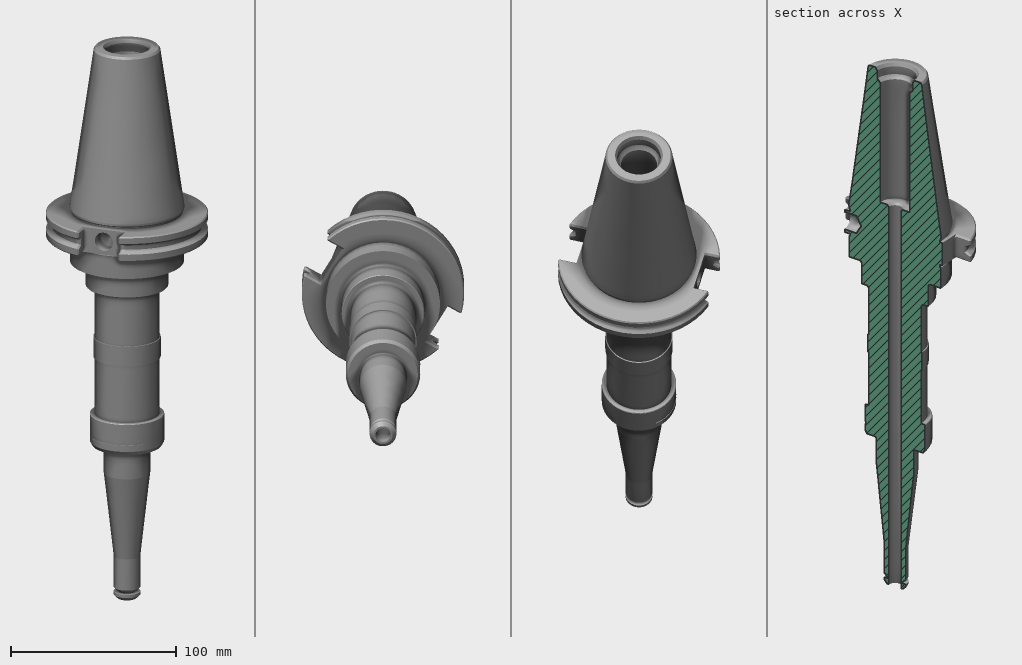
import cadquery as cq
import math

total_length = 351.5
taper_length = 101.5
gauge_z = total_length - taper_length

gauge_radius = 69.5 / 2
taper_ratio = 7 / 24
taper_end_radius = gauge_radius - taper_length * taper_ratio / 2
end_face_radius = 38.5 / 2
end_chamfer_height = 1.5

flange_radius = 98.0 / 2
flange_top = gauge_z - 3.0
flange_bottom = gauge_z - 19.0
flange_chamfer = 0.7
groove_z = gauge_z - 11.0
groove_floor_width = 2.8
groove_depth = 3.5
groove_half_angle = 30
neck_radius = 67.5 / 2
neck_length = 1.0

collar_radius = 69.0 / 2
collar_bottom = 215.2
collar_fillet = 1.8
shoulder_radius = 50.0 / 2
shoulder_bottom = 199.7
shoulder_chamfer = 0.5
body_radius = 39.5 / 2
body_fillet = 2.0
band_radius = 40.8 / 2
band_top = 167.0
band_bottom = 154.5
nut_radius = 45.0 / 2
nut_top = 118.0
nut_bottom = 98.0
nut_top_chamfer = 0.5
nut_bottom_chamfer_height = 2.5
nut_bottom_chamfer_width = 1.5

shank_radius = 28.0 / 2
shank_fillet = 1.0
cone_top = 80.0
cone_bottom = 27.0
tip_radius = 16.0 / 2
tip_groove_radius = 10.5 / 2
tip_groove_bottom = 4.2
tip_end_radius = 11.5 / 2

mouth_radius = 29.0 / 2
pilot_radius = 26.5 / 2
thread_radius = 21.8 / 2
mouth_depth = 2.0
pilot_depth = 7.5
thread_depth = 91.5
channel_mouth_radius = 11.5 / 2
channel_radius = 9.0 / 2

slot_width = 25.5
slot_chamfer = 1.0
slot_corner_radius = 1.0
front_floor_distance = 37.5
rear_floor_distance = 35.5

drill_radius = 11.5 / 2
drill_depth = 8.8
drill_point_angle = 118

mark_z = 105.5
mark_width = 2.0
mark_angle = 97
mark_depth = 0.5


def revolve_outline(outline):
    """Turn a closed outline in the XZ plane about the Z axis."""
    return outline.close().revolve(360, (0, 0), (0, 1))


def cove(outline, outer_radius, inner_radius, face_z):
    """Quarter round from a downward-facing step into the thinner cylinder below it."""
    size = outer_radius - inner_radius
    sag = size * (1 - math.sqrt(0.5))
    return outline.threePointArc((inner_radius + sag, face_z - sag), (inner_radius, face_z - size))


def outer_body():
    groove_half_floor = groove_floor_width / 2
    groove_half_mouth = groove_half_floor + groove_depth * math.tan(math.radians(groove_half_angle))
    groove_radius = flange_radius - groove_depth
    upper_neck_end = flange_top + neck_length
    lower_neck_end = flange_bottom - neck_length
    neck_step = collar_radius - neck_radius
    chamfer_edge_radius = taper_end_radius + end_chamfer_height * taper_ratio / 2

    outline = cq.Workplane("XZ").polyline([
        (0, total_length),
        (end_face_radius, total_length),
        (chamfer_edge_radius, total_length - end_chamfer_height),
        (gauge_radius, gauge_z),
        (collar_radius, gauge_z),
        (collar_radius, upper_neck_end + neck_step),
        (neck_radius, upper_neck_end),
        (neck_radius, flange_top),
        (flange_radius - flange_chamfer, flange_top),
        (flange_radius, flange_top - flange_chamfer),
        (flange_radius, groove_z + groove_half_mouth),
        (groove_radius, groove_z + groove_half_floor),
        (groove_radius, groove_z - groove_half_floor),
        (flange_radius, groove_z - groove_half_mouth),
        (flange_radius, flange_bottom + flange_chamfer),
        (flange_radius - flange_chamfer, flange_bottom),
        (neck_radius, flange_bottom),
        (neck_radius, lower_neck_end),
        (collar_radius, lower_neck_end - neck_step),
        (collar_radius, collar_bottom),
        (shoulder_radius + collar_fillet, collar_bottom),
    ])
    outline = cove(outline, shoulder_radius + collar_fillet, shoulder_radius, collar_bottom)
    outline = (
        outline
        .lineTo(shoulder_radius, shoulder_bottom + shoulder_chamfer)
        .lineTo(shoulder_radius - shoulder_chamfer, shoulder_bottom)
        .lineTo(body_radius + body_fillet, shoulder_bottom)
    )
    outline = cove(outline, body_radius + body_fillet, body_radius, shoulder_bottom)
    outline = (
        outline
        .lineTo(body_radius, band_top)
        .lineTo(band_radius, band_top)
        .lineTo(band_radius, band_bottom)
        .lineTo(body_radius, band_bottom)
        .lineTo(body_radius, nut_top)
        .lineTo(nut_radius - nut_top_chamfer, nut_top)
        .lineTo(nut_radius, nut_top - nut_top_chamfer)
        .lineTo(nut_radius, nut_bottom + nut_bottom_chamfer_height)
        .lineTo(nut_radius - nut_bottom_chamfer_width, nut_bottom)
        .lineTo(shank_radius + shank_fillet, nut_bottom)
    )
    outline = cove(outline, shank_radius + shank_fillet, shank_radius, nut_bottom)
    outline = (
        outline
        .lineTo(shank_radius, cone_top)
        .lineTo(tip_radius, cone_bottom)
        .lineTo(tip_radius, tip_groove_bottom + tip_radius - tip_groove_radius)
        .lineTo(tip_groove_radius, tip_groove_bottom)
        .lineTo(tip_radius, tip_groove_bottom)
        .lineTo(tip_radius, tip_radius - tip_end_radius)
        .lineTo(tip_end_radius, 0)
        .lineTo(0, 0)
    )
    return revolve_outline(outline)


def axial_bore():
    thread_start = total_length - pilot_depth - (pilot_radius - thread_radius)
    thread_end = total_length - thread_depth
    points = [
        (0, total_length),
        (mouth_radius, total_length),
        (pilot_radius, total_length - mouth_depth),
        (pilot_radius, total_length - pilot_depth),
        (thread_radius, thread_start),
        (thread_radius, thread_end),
        (channel_mouth_radius, thread_end),
        (channel_radius, thread_end - (channel_mouth_radius - channel_radius)),
        (channel_radius, 0),
        (0, 0),
    ]
    return revolve_outline(cq.Workplane("XZ").polyline(points))


def drive_slot(side, distance):
    height = flange_top - flange_bottom
    length = flange_radius
    return (
        cq.Workplane("XY")
        .box(slot_width, length, height)
        .translate((0, side * (distance + length / 2), (flange_top + flange_bottom) / 2))
    )


def drive_slot_hole():
    point_depth = drill_radius / math.tan(math.radians(drill_point_angle / 2))
    start = -front_floor_distance
    outline = cq.Workplane("XY").polyline([
        (0, start),
        (drill_radius, start),
        (drill_radius, start + drill_depth),
        (0, start + drill_depth + point_depth),
    ])
    return outline.close().revolve(360, (0, 0), (0, 1)).translate((0, 0, groove_z))


def nut_mark():
    """Shallow arc-shaped groove centred on the -Y side of the nut."""
    groove = (
        cq.Workplane("XZ")
        .rect(2 * mark_depth, mark_width)
        .revolve(mark_angle, (-nut_radius, 0), (-nut_radius, 1))
    )
    start_angle = -90 - mark_angle / 2
    return groove.translate((nut_radius, 0, mark_z)).rotate((0, 0, 0), (0, 0, 1), start_angle)


def lies_on_slot_floor(edge):
    tolerance = 0.005
    mid_y = edge.Center().y
    return min(abs(mid_y + front_floor_distance), abs(mid_y - rear_floor_distance)) < tolerance


def slot_wall_edges(body, on_floor):
    """Edges of the slot walls: those along the slot floors, or all the others."""
    wall_edges = body.faces("|X").edges().vals()
    return body.newObject([edge for edge in wall_edges if lies_on_slot_floor(edge) == on_floor])


def add_drive_slots(body):
    """Cut both drive slots, chamfer their walls and round the corners along their floors."""
    body = body.cut(drive_slot(-1, front_floor_distance)).cut(drive_slot(1, rear_floor_distance))
    body = slot_wall_edges(body, on_floor=False).chamfer(slot_chamfer)
    return slot_wall_edges(body, on_floor=True).fillet(slot_corner_radius)


result = (
    add_drive_slots(outer_body())
    .cut(axial_bore())
    .cut(drive_slot_hole())
    .cut(nut_mark())
)